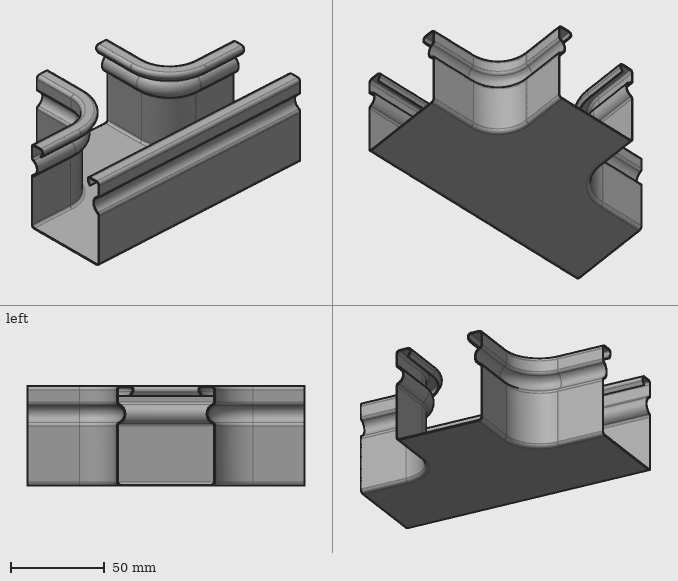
import cadquery as cq
import math

run_length = 148.0
overall_width = 99.0
height = 53.5
channel_width = 52.5
sheet = 0.67
corner_radius = 20.0

inside_bend_radius = 1.5
bend_radius = inside_bend_radius + sheet
bead_radius = 5.0
bead_depth = 4.0
bead_height = 38.5
lip_width = 9.0
lip_turn = 120.0
tip_length = 2.7

bead_turn = math.degrees(math.acos(1 - bead_depth / (bend_radius + bead_radius)))
bead_half_span = (bend_radius + bead_radius) * math.sin(math.radians(bead_turn))

half_run = run_length / 2
half_branch = channel_width / 2
run_wall_x = overall_width - channel_width
corner_x = run_wall_x - corner_radius
corner_y = half_branch + corner_radius

wall_steps = [
    ("bend", bend_radius, 90),
    ("line", bead_height - bead_half_span - bend_radius),
    ("bend", bend_radius, bead_turn),
    ("bend", bead_radius, -2 * bead_turn),
    ("bend", bend_radius, bead_turn),
    ("line", height - bend_radius - bead_height - bead_half_span),
    ("bend", bend_radius, 90),
    ("line", lip_width - 2 * bend_radius),
    ("bend", bend_radius, lip_turn),
    ("line", tip_length),
]


def advance(station, distance, turn):
    """Move a (u, z, heading) station along a chord and turn right by the given angle."""
    u, z, heading = station
    chord_angle = math.radians(heading - turn / 2)
    return (u + distance * math.cos(chord_angle), z + distance * math.sin(chord_angle), heading - turn)


def bend_chord(radius, turn):
    """Length of the chord across a bend."""
    return 2 * radius * math.sin(math.radians(abs(turn)) / 2)


def face_point(station, depth):
    """Point at a depth into the sheet, which lies to the right of the heading."""
    u, z, heading = station
    angle = math.radians(heading)
    return (u + depth * math.sin(angle), z - depth * math.cos(angle))


def wall_section(workplane):
    """Closed wall section: local x runs from the outer face into the channel, local y is up."""
    station = (bend_radius, 0, 180)
    stations = [station]
    middles = []
    for kind, size, *turn in wall_steps:
        if kind == "line":
            middles.append(None)
            station = advance(station, size, 0)
        else:
            middles.append(advance(station, bend_chord(size, turn[0] / 2), turn[0] / 2))
            station = advance(station, bend_chord(size, turn[0]), turn[0])
        stations.append(station)

    def trace(sketch, middle, end, depth):
        if middle is None:
            return sketch.lineTo(*face_point(end, depth))
        return sketch.threePointArc(face_point(middle, depth), face_point(end, depth))

    sketch = workplane.moveTo(*face_point(stations[0], 0))
    for middle, end in zip(middles, stations[1:]):
        sketch = trace(sketch, middle, end, 0)
    sketch = sketch.lineTo(*face_point(stations[-1], sheet))
    for middle, end in zip(reversed(middles), reversed(stations[:-1])):
        sketch = trace(sketch, middle, end, sheet)
    return sketch.close()


def section_at(origin, inward):
    """Wall section whose outer face stands at the origin and faces away from the inward direction."""
    normal = cq.Vector(*inward).cross(cq.Vector(0, 0, 1))
    return wall_section(cq.Workplane(cq.Plane(origin=origin, xDir=inward, normal=normal)))


def back_wall():
    return section_at((overall_width, -half_run, 0), (-1, 0, 0)).extrude(run_length)


def front_corner_wall():
    """Wall from the branch end around the corner to the run end, on the -Y side."""
    branch_leg = section_at((corner_x, -half_branch, 0), (0, 1, 0)).extrude(-corner_x)
    run_leg = section_at((run_wall_x, -corner_y, 0), (1, 0, 0)).extrude(half_run - corner_y)
    bend = section_at((run_wall_x, -corner_y, 0), (1, 0, 0)).revolve(
        90, (-corner_radius, 0, 0), (-corner_radius, 1, 0)
    )
    return branch_leg.union(bend).union(run_leg)


def floor_plate():
    """Flat T-shaped floor between the bottom bends of the walls."""
    edge_radius = corner_radius + bend_radius
    run_edge = run_wall_x + bend_radius
    branch_edge = half_branch - bend_radius
    arc_x = corner_x + edge_radius * math.cos(math.pi / 4)
    arc_y = corner_y - edge_radius * math.sin(math.pi / 4)
    return (
        cq.Workplane("XY")
        .moveTo(0, -branch_edge)
        .lineTo(corner_x, -branch_edge)
        .threePointArc((arc_x, -arc_y), (run_edge, -corner_y))
        .lineTo(run_edge, -half_run)
        .lineTo(overall_width - bend_radius, -half_run)
        .lineTo(overall_width - bend_radius, half_run)
        .lineTo(run_edge, half_run)
        .lineTo(run_edge, corner_y)
        .threePointArc((arc_x, arc_y), (corner_x, branch_edge))
        .lineTo(0, branch_edge)
        .close()
        .extrude(sheet)
    )


corner_wall = front_corner_wall()
result = floor_plate().union(back_wall()).union(corner_wall).union(corner_wall.mirror("XZ"))